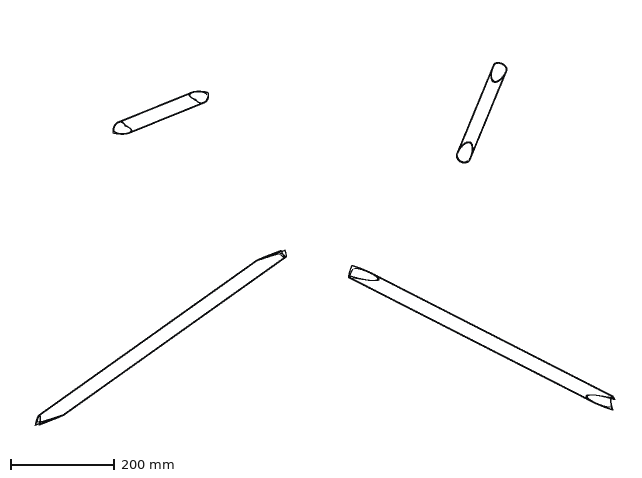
import cadquery as cq
import math

half_run = 268.0
half_sidestep = 23.0
half_rise = 133.0
tube_radius = 14.0
wall = 1.25
tube_overrun = 48.5

mating_radius = 14.0
mating_length = 324.5
mating_yaw = 6.0

upright_lean = 24.0


def rod(start, direction, length, radius):
    return cq.Workplane(cq.Solid.makeCylinder(radius, length, start, direction))


def saddle_cutter(end, direction):
    """Mating rod through one end of the tube axis; end is -1 or 1."""
    joint = axis_half * end
    start = joint - direction * (mating_length / 2)
    return rod(start, direction, mating_length, mating_radius)


axis_half = cq.Vector(half_run, -half_sidestep, half_rise)
axis = axis_half.normalized()
half_length = axis_half.Length + tube_overrun
tube_start = axis * -half_length
tube_length = 2 * half_length

outside = rod(tube_start, axis, tube_length, tube_radius)
bore = rod(tube_start, axis, tube_length, tube_radius - wall)
tube = outside.cut(bore)

yaw = math.radians(mating_yaw)
lean = math.radians(upright_lean)
level_axis = cq.Vector(math.cos(yaw), math.sin(yaw), 0)
plane_normal = axis.cross(level_axis).normalized()
upright_x = -math.sin(lean)
upright_z = math.cos(lean)
upright_y = -(upright_x * plane_normal.x + upright_z * plane_normal.z) / plane_normal.y
upright_axis = cq.Vector(upright_x, upright_y, upright_z).normalized()

for end in (-1, 1):
    tube = tube.cut(saddle_cutter(end, level_axis))
tube = tube.cut(saddle_cutter(-1, upright_axis))

span = tube.solids(cq.selectors.NearestToPointSelector((0, 0, 0)))
result = cq.Workplane(span.val())